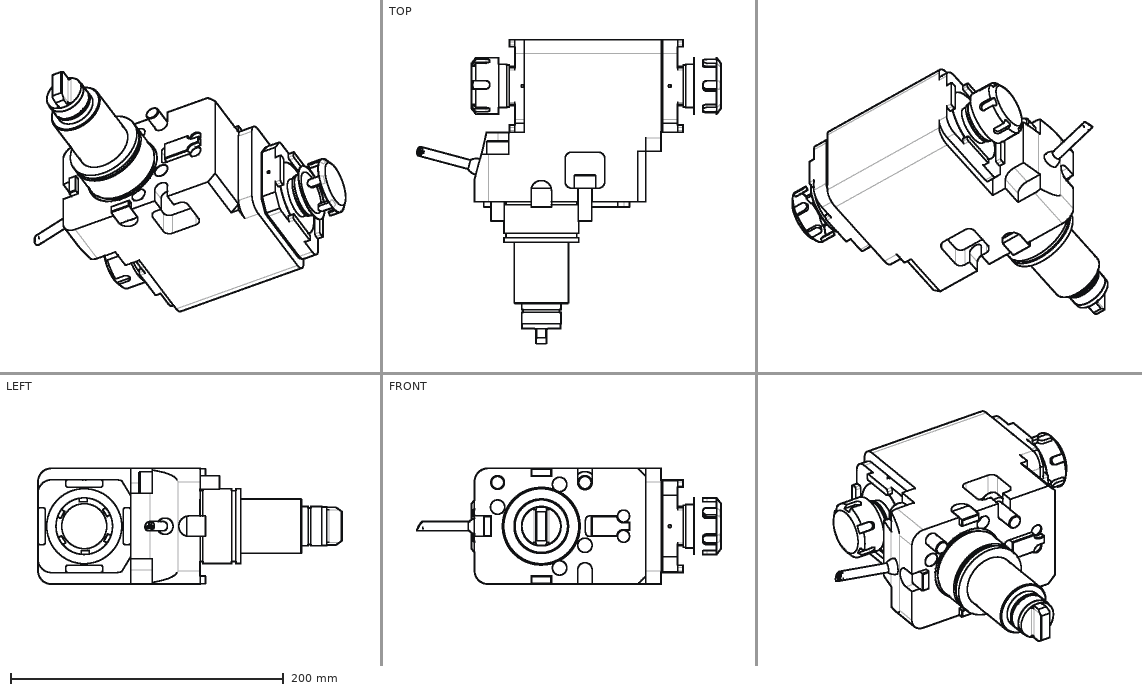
import cadquery as cq
import math


height = 85.0
half_height = height / 2

base_left = -49.0
base_right = 76.7
base_depth = 37.0
shoulder_y = 51.0
corner_radius = 10.0
base_chamfer = 6.0
slope_start_y = 16.6
slope_angle = 15.0
slope_end_x = -43.4
shoulder_left = -40.2

head_left = -12.5
head_right = 87.8
head_back = 119.0
head_centre_x = 40.3
spindle_y = 85.0

plate_half = 34.0
plate_outer = 59.6
plate_thickness = 11.0
plate_corner_radius = 10.0
plate_bevel_half = 22.5
plate_bevel_start = 27.3
plate_lip_start = 24.4
plate_lip_drop = 0.6
spacer_thickness = 1.2
spacer_inset = 0.5
pad_height = 4.1
pad_length = 27.0
pad_width = 5.4
pad_corner_radius = 1.5
plate_recess_diameter = 55.0
plate_recess_depth = 0.3
mark_hole_diameter = 2.1
mark_hole_depth = 2.0
mark_hole_from_face = 5.7

neck_diameter = 29.0
collar_diameter = 32.0
collar_relief_diameter = 31.0
collar_relief_length = 2.0
nut_rear = 71.5
nut_end = 91.5
nut_diameter = 41.5
nut_end_diameter = 33.0
nut_cone_length = 3.3
nut_flange_thickness = 0.4
cap_rim_thickness = 0.4
slot_count = 6
slot_width = 6.0
slot_start = 78.0
slot_floor_radius = 17.9
slot_overrun = 1.0
slot_clocking = 2.3

pilot_diameter = 55.0
pilot_groove_diameter = 52.0
pilot_recess_diameter = 57.0
pilot_recess_depth = 1.0
shaft_diameter = 40.0
drive_diameter = 29.0
drive_groove_diameter = 27.0
drive_tip_diameter = 28.4
pilot_relief_y = -2.0
pilot_end_y = -23.0
pilot_groove_end_y = -26.2
pilot_flange_end_y = -29.7
shaft_end_y = -74.5
drive_land_end_y = -79.0
drive_groove_end_y = -81.0
drive_end_y = -89.2
shaft_chamfer = 0.7
tang_thickness = 8.0
tang_tip_y = -104.0
tang_root_y = -92.8
tang_half_width = 13.9
tang_root_fillet = 1.5
tang_flat_half = 11.9
tang_edge_chamfer = 0.6
tang_tip_half = 10.6
tang_tip_length = 4.5

screw_offset = 32.0
screw_diameter = 10.0
screw_head_diameter = 16.0
screw_head_height = 10.0
screw_head_chamfer = 1.0
screw_tip_y = -14.3
screw_tip_chamfer = 0.5
left_screw_seat_y = 35.0
right_screw_seat_y = 10.0
screw_slot_width = 10.5
screw_pocket_width = 29.2
screw_pocket_length = 26.5
screw_pocket_radius = 5.0

face_hole_diameter = 10.5
face_hole_x = 13.4
face_hole_z = 30.6
face_hole_depth = 9.5
plug_x = 32.0
plug_z = 14.0
plug_recess = 0.3

key_width = 15.0
key_projection = 4.0
key_seat_depth = 10.0
key_thickness = 5.7
key_floor = 36.5
key_slot_radius = key_width / 2
key_slot_depth = 8.2
key_chamfer = 0.5

side_key_left = 36.7
side_key_right = 64.8
side_pocket_left = 32.4
side_pocket_depth = 6.0
side_pocket_radius = 3.0
relief_x = 60.3
relief_z = 7.4
relief_diameter = 8.8
relief_depth = 1.0
side_key_tip_half = relief_z - relief_diameter / 2

cable_diameter = 7.0
cable_root_x = -46.5
cable_root_y = 25.7
cable_length = 46.05
cable_embed = 5.0
cable_cut_angle = 30.0
gland_diameter = 12.0
gland_length = 6.5
gland_bulge_length = 3.6
gland_bulge_radius = 5.4
wire_hole_diameter = 2.1
wire_hole_radius = 1.8
wire_hole_depth = 3.0
wire_count = 3


def box(x, y, z):
    """Box from three (low, high) ranges."""
    size = (x[1] - x[0], y[1] - y[0], z[1] - z[0])
    return cq.Workplane("XY").box(*size, centered=False).translate((x[0], y[0], z[0]))


def rod_y(diameter, x, z, y_low, y_high):
    """Cylinder along Y."""
    plane = cq.Plane(origin=(x, y_low, z), xDir=(1, 0, 0), normal=(0, 1, 0))
    return cq.Workplane(plane).circle(diameter / 2).extrude(y_high - y_low)


def rod_x(diameter, x_low, x_high):
    """Cylinder along X on the spindle axis."""
    plane = cq.Plane(origin=(x_low, spindle_y, 0), xDir=(0, 1, 0), normal=(1, 0, 0))
    return cq.Workplane(plane).circle(diameter / 2).extrude(x_high - x_low)


def base_block():
    lower = (
        cq.Workplane("XY", origin=(0, 0, -half_height))
        .moveTo(base_left, 0)
        .lineTo(base_right, 0)
        .lineTo(base_right, base_depth)
        .lineTo(slope_end_x, base_depth)
        .lineTo(base_left, slope_start_y)
        .close()
        .extrude(height)
        .edges("|Y and >X")
        .chamfer(base_chamfer)
    )
    shoulder = (
        cq.Workplane("XY", origin=(0, 0, -half_height))
        .moveTo(slope_end_x, base_depth)
        .lineTo(base_right, base_depth)
        .lineTo(base_right, shoulder_y)
        .lineTo(shoulder_left, shoulder_y)
        .close()
        .extrude(height)
    )
    rounded = box((base_left, base_right), (0, shoulder_y), (-half_height, half_height))
    rounded = rounded.edges("|Y and <X").fillet(corner_radius)
    return lower.union(shoulder).intersect(rounded)


def head_block():
    head = box((head_left, head_right), (base_depth, head_back), (-half_height, half_height))
    return head.edges("|X").fillet(corner_radius)


def edge_key_slot(angle):
    """Round-ended slot in the side of the base, turned about the shank axis."""
    top = -base_left
    slot = box((-key_slot_radius, key_slot_radius), (0, key_slot_depth), (key_floor, top))
    end = (
        cq.Workplane("XY", origin=(0, key_slot_depth, key_floor))
        .circle(key_slot_radius)
        .extrude(top - key_floor)
    )
    return slot.union(end).rotate((0, 0, 0), (0, 1, 0), angle)


def edge_key(angle):
    key = box(
        (-key_slot_radius, key_slot_radius),
        (-key_projection, key_seat_depth),
        (key_floor, key_floor + key_thickness),
    )
    key = key.faces("<Y").edges().chamfer(key_chamfer)
    return key.rotate((0, 0, 0), (0, 1, 0), angle)


def side_pocket():
    pocket = box(
        (side_pocket_left, relief_x),
        (0, side_pocket_depth),
        (-key_slot_radius, key_slot_radius),
    )
    return pocket.edges("|Y and <X").fillet(side_pocket_radius)


def reliefs(y_low, y_high):
    """Round corner reliefs on both sides of the side key."""
    upper = rod_y(relief_diameter, relief_x, relief_z, y_low, y_high)
    lower = rod_y(relief_diameter, relief_x, -relief_z, y_low, y_high)
    return upper.union(lower)


def side_key():
    span = (-key_projection, side_pocket_depth)
    body = box((side_key_left, relief_x), span, (-key_slot_radius, key_slot_radius))
    tip = box((relief_x, side_key_right), span, (-side_key_tip_half, side_key_tip_half))
    key = body.union(tip).cut(reliefs(-key_projection, relief_depth))
    return key.faces("<Y").edges().chamfer(key_chamfer)


def screw(x, seat_y):
    head = rod_y(screw_head_diameter, x, screw_offset, seat_y, seat_y + screw_head_height)
    head = head.faces(">Y").chamfer(screw_head_chamfer)
    shank = rod_y(screw_diameter, x, screw_offset, screw_tip_y, seat_y)
    shank = shank.faces("<Y").chamfer(screw_tip_chamfer)
    return head.union(shank)


def left_screw_notch(side):
    """Corner notch with a round inner edge, above (+1) or below (-1) the middle plane."""
    inner = screw_offset - screw_head_diameter / 2
    notch = box((base_left, -inner), (left_screw_seat_y, shoulder_y), (inner, half_height))
    notch = notch.edges("|Y and >X and <Z").fillet(screw_head_diameter / 2)
    return notch if side > 0 else notch.mirror("XY")


def right_screw_pocket(side):
    """Head pocket open to the flat side, with the slot that lets the screw in sideways."""
    floor = screw_offset - screw_head_diameter / 2
    pocket = box(
        (screw_offset - screw_pocket_width / 2, screw_offset + screw_pocket_width / 2),
        (right_screw_seat_y, right_screw_seat_y + screw_pocket_length),
        (floor, half_height),
    )
    pocket = pocket.edges("|Z").fillet(screw_pocket_radius)
    slot = box(
        (screw_offset - screw_slot_width / 2, screw_offset + screw_slot_width / 2),
        (0, right_screw_seat_y),
        (screw_offset, half_height),
    )
    slot_end = rod_y(screw_slot_width, screw_offset, screw_offset, 0, right_screw_seat_y)
    opening = pocket.union(slot).union(slot_end)
    return opening if side > 0 else opening.mirror("XY")


def face_holes():
    holes = rod_y(face_hole_diameter, face_hole_x, face_hole_z, 0, face_hole_depth)
    holes = holes.union(rod_y(face_hole_diameter, face_hole_x, -face_hole_z, 0, face_hole_depth))
    for side in (-1, 1):
        holes = holes.union(rod_y(face_hole_diameter, side * plug_x, -side * plug_z, 0, plug_recess))
    return holes


def shank():
    steps = [
        (pilot_groove_diameter, pilot_relief_y),
        (pilot_diameter, pilot_end_y),
        (pilot_groove_diameter, pilot_groove_end_y),
        (pilot_diameter, pilot_flange_end_y),
        (shaft_diameter, shaft_end_y),
        (drive_diameter, drive_land_end_y),
        (drive_groove_diameter, drive_groove_end_y),
        (drive_diameter, drive_end_y),
        (drive_tip_diameter, tang_root_y),
    ]
    body = None
    start_y = pilot_recess_depth
    for diameter, end_y in steps:
        step = rod_y(diameter, 0, 0, end_y, start_y)
        if diameter == shaft_diameter:
            step = step.faces("<Y").chamfer(shaft_chamfer)
        body = step if body is None else body.union(step)
        start_y = end_y
    return body.union(drive_tang())


def drive_tang():
    half = tang_thickness / 2
    crown = half - tang_edge_chamfer
    blade = (
        cq.Workplane("XZ", origin=(0, tang_root_y, 0))
        .polyline([
            (half, tang_flat_half),
            (crown, tang_half_width),
            (-crown, tang_half_width),
            (-half, tang_flat_half),
            (-half, -tang_flat_half),
            (-crown, -tang_half_width),
            (crown, -tang_half_width),
            (half, -tang_flat_half),
        ])
        .close()
        .extrude(tang_root_y - tang_tip_y)
    )
    taper_y = tang_tip_y + tang_tip_length
    side_profile = (
        cq.Workplane("YZ", origin=(-half, 0, 0))
        .polyline([
            (tang_root_y, tang_half_width),
            (taper_y, tang_half_width),
            (tang_tip_y, tang_tip_half),
            (tang_tip_y, -tang_tip_half),
            (taper_y, -tang_half_width),
            (tang_root_y, -tang_half_width),
        ])
        .close()
        .extrude(tang_thickness)
    )
    blade = blade.intersect(side_profile)
    blade = blade.faces("<Y").edges("|Z").chamfer(tang_edge_chamfer)
    foot_y = tang_root_y - tang_root_fillet
    foot = (
        cq.Workplane("XY", origin=(0, 0, -tang_flat_half))
        .moveTo(half + tang_root_fillet, tang_root_y)
        .radiusArc((half, foot_y), -tang_root_fillet)
        .lineTo(-half, foot_y)
        .radiusArc((-half - tang_root_fillet, tang_root_y), -tang_root_fillet)
        .close()
        .extrude(2 * tang_flat_half)
    )
    return blade.union(foot)


def plate_outline(x, inset, thickness):
    """End plate: square with round back corners and large bevels towards the base."""
    half = plate_half - inset
    lip_z = half - plate_lip_drop
    plane = cq.Plane(origin=(x, spindle_y, 0), xDir=(0, 1, 0), normal=(1, 0, 0))
    plate = (
        cq.Workplane(plane)
        .moveTo(half, half)
        .lineTo(-plate_lip_start, half)
        .lineTo(-plate_bevel_start, lip_z)
        .lineTo(-half, plate_bevel_half)
        .lineTo(-half, -plate_bevel_half)
        .lineTo(-plate_bevel_start, -lip_z)
        .lineTo(-plate_lip_start, -half)
        .lineTo(half, -half)
        .close()
        .extrude(thickness)
    )
    return plate.edges("|X and >Y").fillet(plate_corner_radius)


def end_plate():
    outer_x = head_centre_x + plate_outer
    inner_x = outer_x - plate_thickness
    plate = plate_outline(inner_x, 0, plate_thickness)
    plate = plate.union(plate_outline(inner_x - spacer_thickness, spacer_inset, spacer_thickness))
    mark = (
        cq.Workplane("XY", origin=(outer_x - mark_hole_from_face, spindle_y, plate_half))
        .circle(mark_hole_diameter / 2)
        .extrude(-mark_hole_depth)
    )
    plate = plate.cut(mark)
    plate = plate.cut(rod_x(plate_recess_diameter, outer_x - plate_recess_depth, outer_x))
    for index in range(4):
        pad = box(
            (outer_x, outer_x + pad_height),
            (spindle_y - pad_length / 2, spindle_y + pad_length / 2),
            (plate_half - pad_width, plate_half),
        )
        pad = pad.edges("|X").fillet(pad_corner_radius)
        plate = plate.union(pad.rotate((0, spindle_y, 0), (1, spindle_y, 0), index * 90))
    return plate


def spindle():
    plate_x = head_centre_x + plate_outer
    relief_start = plate_x + pad_height
    collar_start = relief_start + collar_relief_length
    neck = rod_x(neck_diameter, plate_x - plate_recess_depth, relief_start)
    relief = rod_x(collar_relief_diameter, relief_start, collar_start)
    collar = rod_x(collar_diameter, collar_start, head_centre_x + nut_rear)
    return neck.union(relief).union(collar)


def nut_slots():
    """Round-ended wrench slots of the nut, filled up to the nut diameter."""
    start_x = head_centre_x + slot_start
    end_x = head_centre_x + nut_end
    end_radius = slot_width / 2
    bar = (
        cq.Workplane("XY", origin=(0, spindle_y, slot_floor_radius))
        .moveTo(start_x + end_radius, end_radius)
        .threePointArc((start_x, 0), (start_x + end_radius, -end_radius))
        .lineTo(end_x, -end_radius)
        .lineTo(end_x, end_radius)
        .close()
        .extrude(nut_diameter / 2 - slot_floor_radius + slot_overrun)
    )
    bar = bar.intersect(rod_x(nut_diameter, start_x, end_x))
    slots = []
    for index in range(slot_count):
        angle = index * 360 / slot_count - slot_clocking
        slots.append(bar.rotate((0, spindle_y, 0), (1, spindle_y, 0), angle))
    return slots


def nut_blank(start):
    """Turned body of the nut from a start distance to its tapered end."""
    start_x = head_centre_x + start
    end_x = head_centre_x + nut_end
    taper_x = end_x - nut_cone_length
    return (
        cq.Workplane("XY")
        .moveTo(start_x, spindle_y)
        .lineTo(start_x, spindle_y + nut_diameter / 2)
        .lineTo(taper_x, spindle_y + nut_diameter / 2)
        .lineTo(end_x, spindle_y + nut_end_diameter / 2)
        .lineTo(end_x, spindle_y)
        .close()
        .revolve(360, (0, spindle_y, 0), (1, spindle_y, 0))
    )


def mirrored(shape):
    """Copy on the other spindle end."""
    return shape.mirror("YZ", (head_centre_x, 0, 0))


def slotted_nut():
    nut = nut_blank(nut_rear)
    for slot in nut_slots():
        nut = nut.cut(slot)
    return nut


def cable():
    """Cable along X, then turned square to the leaning side of the base."""
    line = cq.Workplane("YZ", origin=(-cable_length, 0, 0)).circle(cable_diameter / 2)
    line = line.extrude(cable_length + cable_embed)
    dome = (
        cq.Workplane("XY")
        .moveTo(0, 0)
        .lineTo(-gland_length, 0)
        .lineTo(-gland_length, cable_diameter / 2)
        .threePointArc((-gland_bulge_length, gland_bulge_radius), (0, gland_diameter / 2))
        .lineTo(cable_embed, gland_diameter / 2)
        .lineTo(cable_embed, 0)
        .close()
        .revolve(360, (0, 0, 0), (1, 0, 0))
    )
    cut_x = -cable_length + cable_diameter / 2 * math.tan(math.radians(cable_cut_angle))
    cutter = box(
        (-2 * cable_diameter, 0),
        (-cable_diameter, cable_diameter),
        (-2 * cable_diameter, 2 * cable_diameter),
    )
    cutter = cutter.rotate((0, 0, 0), (0, 1, 0), cable_cut_angle).translate((cut_x, 0, 0))
    wires = (
        cq.Workplane("YZ", origin=(-cable_length, 0, 0))
        .polarArray(wire_hole_radius, 90, 360, wire_count)
        .circle(wire_hole_diameter / 2)
        .extrude(cut_x + cable_length + wire_hole_depth)
    )
    whole = line.cut(cutter).cut(wires).union(dome)
    whole = whole.rotate((0, 0, 0), (0, 0, 1), -slope_angle)
    return whole.translate((cable_root_x, cable_root_y, 0))


def tool_holder():
    holder = base_block().union(head_block())
    for side in (-1, 1):
        holder = holder.cut(left_screw_notch(side)).cut(right_screw_pocket(side))
    holder = holder.cut(face_holes())
    holder = holder.cut(rod_y(pilot_recess_diameter, 0, 0, 0, pilot_recess_depth))
    edge_angles = (0, 180, -90)
    for angle in edge_angles:
        holder = holder.cut(edge_key_slot(angle))
    holder = holder.cut(side_pocket()).cut(reliefs(0, relief_depth))
    for angle in edge_angles:
        holder = holder.union(edge_key(angle))
    holder = holder.union(side_key()).union(shank())
    holder = holder.union(screw(-screw_offset, left_screw_seat_y))
    holder = holder.union(screw(screw_offset, right_screw_seat_y))

    front_mark = rod_y(
        mark_hole_diameter,
        head_centre_x + plate_outer - mark_hole_from_face,
        0,
        spindle_y - plate_half,
        spindle_y - plate_half + mark_hole_depth,
    )
    rear_x = head_centre_x + nut_rear
    flange = rod_x(nut_diameter, rear_x, rear_x + nut_flange_thickness)
    holder = holder.union(end_plate().cut(front_mark)).union(spindle()).union(flange)
    for piece in (end_plate(), spindle(), slotted_nut()):
        holder = holder.union(mirrored(piece))
    return holder.union(cable())


def end_cap():
    cap = nut_blank(nut_end - nut_cone_length - cap_rim_thickness)
    inside = nut_blank(slot_start)
    for finger in nut_slots():
        cap = cap.union(finger.intersect(inside))
    return cap


holder = tool_holder()
cap = end_cap()

result = cq.Compound.makeCompound([holder.solids().val(), cap.solids().val()])